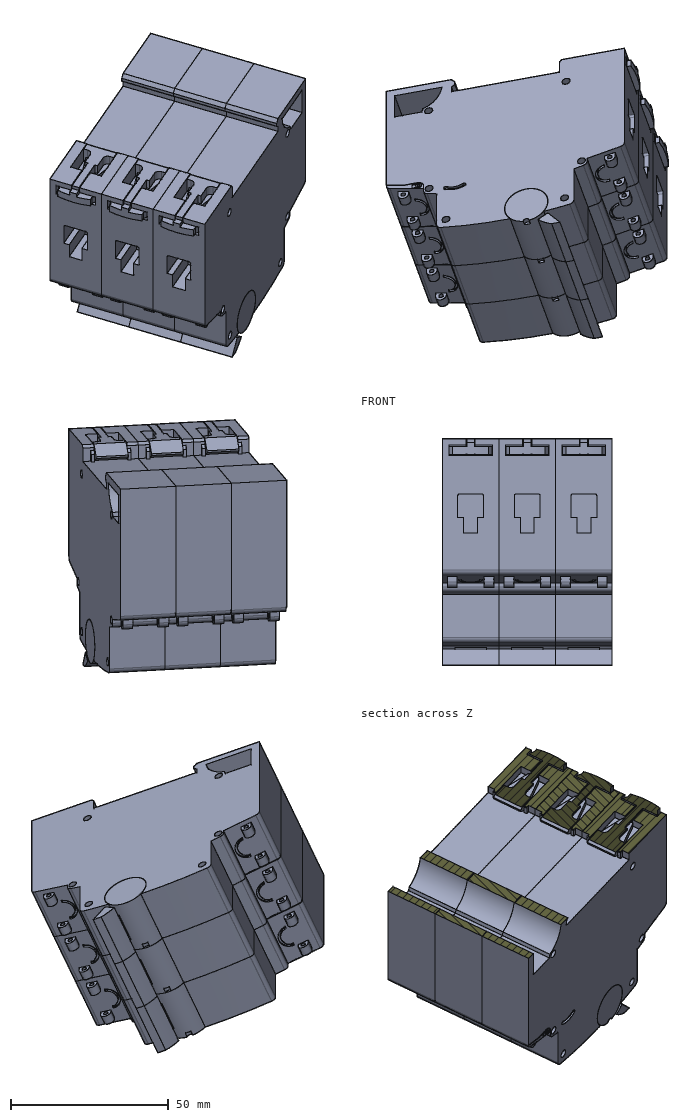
import cadquery as cq
import math


POLES = 3
TOTAL_WIDTH = 54.0
POLE_WIDTH = TOTAL_WIDTH / POLES
POLE_MIDDLE = POLE_WIDTH / 2
DEPTH = 78.1
DEPTH_MIDDLE = DEPTH / 2
TOP = 72.0

RAIL_FLOOR = 66.6
RAIL_FRONT = 21.3
RAIL_REAR = 56.7
RAIL_CHAMFER = 0.65
RAIL_CHAMFER_HEIGHT = 1.0
NOSE_REACH = 1.05
NOSE_TOP = 70.7
NOSE_BOTTOM = 69.5
NOSE_ROOT = 68.6

SHOULDER_EDGE = 29.0
SHOULDER_END = 26.1
STEP_INSET = 12.25
STEP_EDGE = 23.6
NECK_INSET = 16.6
NECK_TOP = 22.5
NECK_CORNER = 7.45
BELLY = 5.5
SHOULDER_RADIUS = 1.6
NECK_RADIUS = 1.6

RIVET_RADIUS = 1.3
FRONT_RIVET = (19.1, 62.0)
REAR_RIVET = (64.2, 60.0)
STEP_RIVET_OFFSET = 25.0
STEP_RIVET_HEIGHT = 25.45
NECK_RIVET_OFFSET = 19.45
NECK_RIVET_HEIGHT = 10.4

WINDOW_REAR = 75.3
WINDOW_FRONT = 59.9
WINDOW_TOP = 69.3
WINDOW_BOTTOM = 60.0
WINDOW_CURVE_MIDDLE = (61.9, 64.4)
WINDOW_CURVE_END = (66.1, 61.3)
WINDOW_CORNER = 66.45

TERMINAL_WIDTH = 8.2
TERMINAL_TOP = 54.45
TERMINAL_LEDGE = 46.9
TERMINAL_BOTTOM = 41.95
TERMINAL_SLOT_WIDTH = 4.4
TERMINAL_RADIUS = 0.65
TERMINAL_DEPTH = 12.0

LUG_INSET = 5.2
LUG_HEIGHT = 26.5
LUG_RADIUS = 1.8
LUG_HOLE_RADIUS = 0.7
LUG_WIDTH = 3.1
LUG_SIDE_GAP = 1.6

RING_INSET = 8.0
RING_OUTER_RADIUS = 3.8
RING_WIDTH = 0.8
RING_DEPTH = 0.8

RECESS_DEPTH = 0.2
RECESS_REAR = 30.35
RECESS_BEND = (72.3, 29.0)
RECESS_ROOF_END = 68.05
RECESS_ROUND = (66.7, 28.6)
RECESS_ROUND_END = 27.6
PIVOT_CENTRE = (67.5, 27.8)
PIVOT_RADIUS = 1.0
PIVOT_HOLE_RADIUS = 0.4
PIVOT_ARM_END = 69.7
PIVOT_ARM_BOTTOM = 27.1
PIVOT_ARM_TOP = 28.4
PIVOT_ARM_RADIUS = 0.4

CRESCENT_CENTRE = (55.65, 29.6)
CRESCENT_RADIUS = 6.0
CRESCENT_WIDTH = 1.2
CRESCENT_HALF_ANGLE = 30.0
CRESCENT_DEPTH = 0.8

DRUM_CENTRE = (32.2, 10.3)
DRUM_RADIUS = 7.05
DRUM_CLEARANCE = 0.1
DRUM_NOTCH_RADIUS = 1.0
DRUM_NOTCH_DEPTH = 1.6
STEM_WIDTH = 10.0
STEM_THICKNESS = 1.9
HANDLE_TOP = (25.1, 5.1)
HANDLE_HEEL = (28.35, 3.0)
HANDLE_BULGE = (26.4, 1.4)
HANDLE_TOE = 23.85
HANDLE_TIP = 21.1

CLIP_BOTTOM = 66.9
HEAD_WIDTH = 10.4
HEAD_FRONT = 17.85
HEAD_TIP = 23.85
HEAD_TIP_TOP = 68.6
HEAD_TIP_BOTTOM = 68.05
HEAD_SLOPE_FRONT = 20.4
HEAD_HEEL = 21.9
WEB_WIDTH = 4.4
WEB_FRONT = 12.2
WEB_RADIUS = 1.6
ROD_WIDTH = 2.4
ROD_NOSE_TOP = 70.8
TAPER_REAR_WIDTH = 9.0
TAPER_FRONT_WIDTH = 4.0
TAPER_FRONT = 8.7
TAPER_TOP = 68.7
BAR_WIDTH = 11.4
BAR_BACK_WIDTH = 13.6
BAR_TOP = 69.5
BAR_BACK = 2.0
BAR_END = -1.3
BAR_FRONT = -1.9

CLIP_POCKET_WIDTH = 10.7
CLIP_POCKET_FRONT = 8.1
CLIP_SLOT_WIDTH = 2.9
BAR_RECESS_WIDTH = 13.8
BAR_RECESS_TOP = 70.0
BAR_RECESS_DEPTH = 2.4
GUIDE_WIDTH = 1.1
GUIDE_REAR = 22.3
GUIDE_SHOULDER = 69.1
GUIDE_TOP = 70.1


def block(width, y_range, z_range, x_middle=POLE_MIDDLE):
    """Box of the given width centred on x_middle."""
    return (
        cq.Workplane("XY")
        .box(width, y_range[1] - y_range[0], z_range[1] - z_range[0], centered=(True, False, False))
        .translate((x_middle, y_range[0], z_range[0]))
    )


def side_rod(centre, radius, x_start=0.0, length=POLE_WIDTH):
    """Cylinder along X about the (y, z) centre."""
    return cq.Workplane("YZ", origin=(x_start, 0, 0)).center(*centre).circle(radius).extrude(length)


def both_ends(inset):
    """The y positions at the given inset from the front and rear faces."""
    return (inset, DEPTH - inset)


def housing_body():
    rear_step, rear_neck = DEPTH - STEP_INSET, DEPTH - NECK_INSET
    body = (
        cq.Workplane("YZ")
        .moveTo(0, TOP)
        .lineTo(0, SHOULDER_EDGE)
        .lineTo(STEP_INSET, SHOULDER_END)
        .lineTo(STEP_INSET, STEP_EDGE)
        .lineTo(NECK_INSET, NECK_TOP)
        .lineTo(NECK_INSET, NECK_CORNER)
        .threePointArc((DEPTH_MIDDLE, BELLY), (rear_neck, NECK_CORNER))
        .lineTo(rear_neck, NECK_TOP)
        .lineTo(rear_step, STEP_EDGE)
        .lineTo(rear_step, SHOULDER_END)
        .lineTo(DEPTH, SHOULDER_EDGE)
        .lineTo(DEPTH, TOP)
        .lineTo(RAIL_REAR, TOP)
        .lineTo(RAIL_REAR - NOSE_REACH, NOSE_TOP)
        .lineTo(RAIL_REAR - NOSE_REACH, NOSE_BOTTOM)
        .lineTo(RAIL_REAR, NOSE_ROOT)
        .lineTo(RAIL_REAR, RAIL_FLOOR)
        .lineTo(RAIL_FRONT, RAIL_FLOOR)
        .lineTo(RAIL_FRONT, TOP - RAIL_CHAMFER_HEIGHT)
        .lineTo(RAIL_FRONT - RAIL_CHAMFER, TOP)
        .close()
        .extrude(POLE_WIDTH)
    )
    corners = ((0, SHOULDER_EDGE, SHOULDER_RADIUS), (STEP_INSET, STEP_EDGE, SHOULDER_RADIUS),
               (NECK_INSET, NECK_CORNER, NECK_RADIUS))
    for inset, height, radius in corners:
        for y in both_ends(inset):
            corner = cq.selectors.NearestToPointSelector((POLE_MIDDLE, y, height))
            body = body.edges("|X").edges(corner).fillet(radius)
    return body


def eye_lugs():
    lug_middles = (LUG_SIDE_GAP + LUG_WIDTH / 2, POLE_WIDTH - LUG_SIDE_GAP - LUG_WIDTH / 2)
    lugs = cq.Workplane("XY")
    for y in both_ends(LUG_INSET):
        for x in lug_middles:
            root = block(LUG_WIDTH, (y - LUG_RADIUS, y + LUG_RADIUS), (LUG_HEIGHT, SHOULDER_EDGE), x)
            x_start = x - LUG_WIDTH / 2
            eye = side_rod((y, LUG_HEIGHT), LUG_RADIUS, x_start, LUG_WIDTH)
            hole = side_rod((y, LUG_HEIGHT), LUG_HOLE_RADIUS, x_start, LUG_WIDTH)
            lugs = lugs.add(root.union(eye).cut(hole))
    return lugs


def rivet_holes():
    centres = [FRONT_RIVET, REAR_RIVET]
    for side in (-1, 1):
        centres.append((DEPTH_MIDDLE + side * STEP_RIVET_OFFSET, STEP_RIVET_HEIGHT))
        centres.append((DEPTH_MIDDLE + side * NECK_RIVET_OFFSET, NECK_RIVET_HEIGHT))
    return cq.Workplane("YZ").pushPoints(centres).circle(RIVET_RADIUS).extrude(POLE_WIDTH)


def cross_window():
    return (
        cq.Workplane("YZ")
        .moveTo(WINDOW_REAR, WINDOW_BOTTOM)
        .lineTo(WINDOW_REAR, WINDOW_TOP)
        .lineTo(WINDOW_FRONT, WINDOW_TOP)
        .threePointArc(WINDOW_CURVE_MIDDLE, WINDOW_CURVE_END)
        .lineTo(WINDOW_CORNER, WINDOW_BOTTOM)
        .close()
        .extrude(POLE_WIDTH)
    )


def terminal_opening():
    deep = (0, TERMINAL_DEPTH)
    opening = block(TERMINAL_WIDTH, deep, (TERMINAL_LEDGE, TERMINAL_TOP))
    opening = opening.edges("|Y and >Z").fillet(TERMINAL_RADIUS)
    return opening.union(block(TERMINAL_SLOT_WIDTH, deep, (TERMINAL_BOTTOM, TERMINAL_LEDGE)))


def ring_grooves():
    """Grooves following the slope of the shoulders, on the half of the ring nearer the neck."""
    slope = math.degrees(math.atan2(SHOULDER_EDGE - SHOULDER_END, STEP_INSET))
    height = SHOULDER_EDGE + (SHOULDER_END - SHOULDER_EDGE) * RING_INSET / STEP_INSET
    half = block(2 * RING_OUTER_RADIUS, (0, RING_OUTER_RADIUS), (0, RING_DEPTH), 0)
    ring = cq.Workplane("XY").circle(RING_OUTER_RADIUS).circle(RING_OUTER_RADIUS - RING_WIDTH)
    front = ring.extrude(RING_DEPTH).intersect(half)
    front = front.rotate((0, 0, 0), (1, 0, 0), -slope).translate((POLE_MIDDLE, RING_INSET, height))
    rear = front.mirror("XZ", (0, DEPTH_MIDDLE, 0))
    return front.add(rear)


def pivot_recess():
    edge = DEPTH - STEP_INSET
    recess = (
        cq.Workplane("YZ")
        .moveTo(DEPTH, RECESS_REAR)
        .lineTo(*RECESS_BEND)
        .lineTo(RECESS_ROOF_END, RECESS_BEND[1])
        .threePointArc(RECESS_ROUND, (edge, RECESS_ROUND_END))
        .lineTo(edge, SHOULDER_END)
        .lineTo(DEPTH, SHOULDER_END)
        .close()
        .extrude(RECESS_DEPTH)
    )
    boss = side_rod(PIVOT_CENTRE, PIVOT_RADIUS, length=RECESS_DEPTH)
    boss = boss.cut(side_rod(PIVOT_CENTRE, PIVOT_HOLE_RADIUS, length=RECESS_DEPTH))
    arm = block(
        RECESS_DEPTH / 2,
        (PIVOT_CENTRE[0], PIVOT_ARM_END),
        (PIVOT_ARM_BOTTOM, PIVOT_ARM_TOP),
        RECESS_DEPTH * 3 / 4,
    )
    arm = arm.edges("|X and >Y and >Z").fillet(PIVOT_ARM_RADIUS)
    arm = arm.cut(side_rod(PIVOT_CENTRE, PIVOT_RADIUS, length=RECESS_DEPTH))
    return recess.cut(boss).cut(arm)


def crescent_groove():
    def point(radius, degrees):
        angle = math.radians(degrees)
        return (
            CRESCENT_CENTRE[0] + radius * math.sin(angle),
            CRESCENT_CENTRE[1] - radius * math.cos(angle),
        )

    inner = CRESCENT_RADIUS - CRESCENT_WIDTH / 2
    outer = CRESCENT_RADIUS + CRESCENT_WIDTH / 2
    end = CRESCENT_HALF_ANGLE
    cap = end + math.degrees(CRESCENT_WIDTH / 2 / CRESCENT_RADIUS)
    return (
        cq.Workplane("YZ")
        .moveTo(*point(inner, -end))
        .threePointArc(point(inner, 0), point(inner, end))
        .threePointArc(point(CRESCENT_RADIUS, cap), point(outer, end))
        .threePointArc(point(outer, 0), point(outer, -end))
        .threePointArc(point(CRESCENT_RADIUS, -cap), point(inner, -end))
        .close()
        .extrude(CRESCENT_DEPTH)
    )


def clip_cavity():
    pocket = block(CLIP_POCKET_WIDTH, (CLIP_POCKET_FRONT, RAIL_FRONT), (RAIL_FLOOR, TOP))
    slot = block(CLIP_SLOT_WIDTH, (0, CLIP_POCKET_FRONT), (RAIL_FLOOR, TOP))
    bar_recess = block(BAR_RECESS_WIDTH, (0, BAR_RECESS_DEPTH), (RAIL_FLOOR, BAR_RECESS_TOP))
    return pocket.union(slot).union(bar_recess)


def clip_guides():
    """Two ribs on the rail wall, one on each side of the clip pocket."""
    guides = cq.Workplane("XY")
    for x_start in (
        POLE_MIDDLE - CLIP_POCKET_WIDTH / 2 - GUIDE_WIDTH,
        POLE_MIDDLE + CLIP_POCKET_WIDTH / 2,
    ):
        guide = (
            cq.Workplane("YZ", origin=(x_start, 0, 0))
            .moveTo(RAIL_FRONT, RAIL_FLOOR)
            .lineTo(GUIDE_REAR, RAIL_FLOOR)
            .lineTo(GUIDE_REAR, GUIDE_SHOULDER)
            .lineTo(RAIL_FRONT, GUIDE_TOP)
            .close()
            .extrude(GUIDE_WIDTH)
        )
        guides = guides.add(guide)
    return guides


def make_housing():
    housing = housing_body()
    for addition in eye_lugs().vals() + clip_guides().vals():
        housing = housing.union(cq.Workplane(addition))
    cuts = (
        rivet_holes(),
        cross_window(),
        terminal_opening(),
        ring_grooves(),
        pivot_recess(),
        crescent_groove(),
        clip_cavity(),
        side_rod(DRUM_CENTRE, DRUM_RADIUS + DRUM_CLEARANCE),
    )
    for cut in cuts:
        for piece in cut.vals():
            housing = housing.cut(cq.Workplane(piece))
    return housing


def make_lever():
    drum = side_rod(DRUM_CENTRE, DRUM_RADIUS)
    notch_centre = (DRUM_CENTRE[0], DRUM_CENTRE[1] - DRUM_RADIUS)
    notch = side_rod(notch_centre, DRUM_NOTCH_RADIUS, length=DRUM_NOTCH_DEPTH)
    handle = (
        cq.Workplane("YZ")
        .moveTo(*HANDLE_TOP)
        .lineTo(HANDLE_TIP, 0)
        .lineTo(HANDLE_TOE, 0)
        .threePointArc(HANDLE_BULGE, HANDLE_HEEL)
        .close()
        .extrude(POLE_WIDTH)
    )
    stem_y = (HANDLE_TOP[0] + HANDLE_HEEL[0]) / 2 - DRUM_CENTRE[0]
    stem_z = (HANDLE_TOP[1] + HANDLE_HEEL[1]) / 2 - DRUM_CENTRE[1]
    stem_length = math.hypot(stem_y, stem_z)
    stem = (
        block(STEM_WIDTH, (0, stem_length), (-STEM_THICKNESS / 2, STEM_THICKNESS / 2))
        .rotate((0, 0, 0), (1, 0, 0), math.degrees(math.atan2(stem_z, stem_y)))
        .translate((0, *DRUM_CENTRE))
    )
    return drum.cut(notch).union(stem).union(handle)


def clip_head():
    return (
        cq.Workplane("YZ", origin=(POLE_MIDDLE - HEAD_WIDTH / 2, 0, 0))
        .moveTo(HEAD_FRONT, CLIP_BOTTOM)
        .lineTo(HEAD_HEEL, CLIP_BOTTOM)
        .lineTo(HEAD_TIP, HEAD_TIP_BOTTOM)
        .lineTo(HEAD_TIP, HEAD_TIP_TOP)
        .lineTo(HEAD_SLOPE_FRONT, TOP)
        .lineTo(HEAD_FRONT, TOP)
        .close()
        .extrude(HEAD_WIDTH)
    )


def clip_taper():
    """Lower plate narrowing from the head towards the rod."""
    return (
        cq.Workplane("XY", origin=(POLE_MIDDLE, 0, CLIP_BOTTOM))
        .moveTo(-TAPER_REAR_WIDTH / 2, HEAD_FRONT)
        .lineTo(-TAPER_FRONT_WIDTH / 2, TAPER_FRONT)
        .lineTo(-ROD_WIDTH / 2, CLIP_POCKET_FRONT)
        .lineTo(ROD_WIDTH / 2, CLIP_POCKET_FRONT)
        .lineTo(TAPER_FRONT_WIDTH / 2, TAPER_FRONT)
        .lineTo(TAPER_REAR_WIDTH / 2, HEAD_FRONT)
        .close()
        .extrude(TAPER_TOP - CLIP_BOTTOM)
    )


def clip_bar(top):
    """Finger bar with a bowed front, its ends flared where they lie inside the housing."""
    return (
        cq.Workplane("XY", origin=(POLE_MIDDLE, 0, CLIP_BOTTOM))
        .moveTo(-BAR_BACK_WIDTH / 2, BAR_BACK)
        .lineTo(-BAR_WIDTH / 2, 0)
        .lineTo(-BAR_WIDTH / 2, BAR_END)
        .threePointArc((0, BAR_FRONT), (BAR_WIDTH / 2, BAR_END))
        .lineTo(BAR_WIDTH / 2, 0)
        .lineTo(BAR_BACK_WIDTH / 2, BAR_BACK)
        .close()
        .extrude(top - CLIP_BOTTOM)
    )


def make_clip():
    web = block(WEB_WIDTH, (WEB_FRONT, HEAD_FRONT), (CLIP_BOTTOM, TOP))
    rod = block(ROD_WIDTH, (0, WEB_FRONT), (CLIP_BOTTOM, TOP))
    nose_limits = block(ROD_WIDTH, (BAR_FRONT, 0), (CLIP_BOTTOM, ROD_NOSE_TOP))
    rod_nose = clip_bar(ROD_NOSE_TOP).intersect(nose_limits)
    clip = clip_head().union(web)
    for side in (-1, 1):
        x = POLE_MIDDLE + side * WEB_WIDTH / 2
        inner_corner = cq.selectors.NearestToPointSelector((x, HEAD_FRONT, (CLIP_BOTTOM + TOP) / 2))
        clip = clip.edges("|Z").edges(inner_corner).fillet(WEB_RADIUS)
    return clip.union(rod).union(clip_taper()).union(clip_bar(BAR_TOP)).union(rod_nose)


housing = make_housing()
lever = make_lever()
clip = make_clip()

bodies = []
for pole in range(POLES):
    shift = (pole * POLE_WIDTH, 0, 0)
    for body in (housing, lever, clip):
        bodies.append(body.translate(shift).val())

result = cq.Compound.makeCompound(bodies)